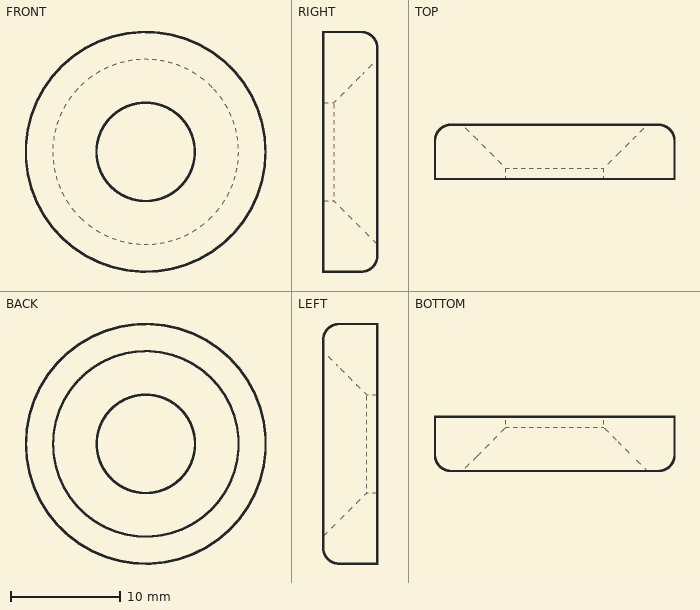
import cadquery as cq

outer_diameter = 22.0
thickness = 5.0
hole_diameter = 9.0
rim_radius = 1.5
land_depth = 1.0

countersink_depth = thickness - land_depth
outer_radius = outer_diameter / 2
hole_radius = hole_diameter / 2
countersink_radius = hole_radius + countersink_depth

rim_arc_start = (outer_radius, thickness - rim_radius)
rim_arc_end = (outer_radius - rim_radius, thickness)
section = (
    cq.Workplane("XY")
    .moveTo(hole_radius, 0)
    .lineTo(outer_radius, 0)
    .lineTo(*rim_arc_start)
    .radiusArc(rim_arc_end, -rim_radius)
    .lineTo(countersink_radius, thickness)
    .lineTo(hole_radius, land_depth)
    .close()
)

result = section.revolve(360, (0, 0, 0), (0, 1, 0))